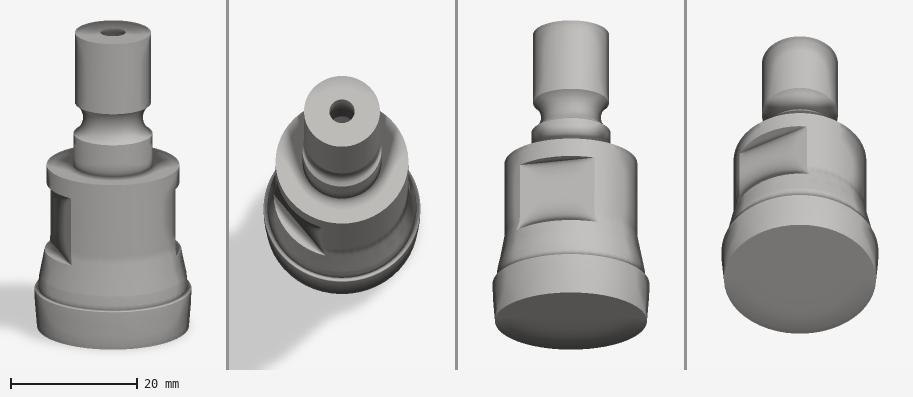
import cadquery as cq
import math

total_height = 48.95
shank_groove_top = 37.25
shank_groove_bottom = 32.15
shoulder_height = 26.9
flat_top = 23.95
flat_bottom = 12.85
cone_blend_top = 14.95
cone_blend_bottom = 13.9
cone_bottom = 8.75
skirt_blend_bottom = 7.1
pad_height = 6.45

shank_radius = 6.0
collar_radius = 6.25
groove_radius = 4.75
body_radius = 10.5
cone_blend_radius = 10.6
cone_bottom_radius = 11.65
skirt_radius = 11.8
pad_radius = 12.45
pad_middle_radius = 12.35
pad_base_radius = 12.05
across_flats = 17.15

pad_edge_round = 0.15
hole_diameter = 4.0
hole_depth = 7.35
hole_tip_angle = 118.0


def make_turned_spindle():
    """Revolve the shank, ball groove, collar, body and flared skirt about Z."""
    groove_middle = (shank_groove_top + shank_groove_bottom) / 2
    return (
        cq.Workplane("XZ")
        .moveTo(0, pad_height)
        .lineTo(skirt_radius, pad_height)
        .lineTo(skirt_radius, skirt_blend_bottom)
        .tangentArcPoint((cone_bottom_radius, cone_bottom), relative=False)
        .lineTo(cone_blend_radius, cone_blend_bottom)
        .tangentArcPoint((body_radius, cone_blend_top), relative=False)
        .lineTo(body_radius, shoulder_height)
        .lineTo(collar_radius, shoulder_height)
        .lineTo(collar_radius, shank_groove_bottom)
        .threePointArc((groove_radius, groove_middle), (shank_radius, shank_groove_top))
        .lineTo(shank_radius, total_height)
        .lineTo(0, total_height)
        .close()
        .revolve(360, (0, 0), (0, 1))
    )


def make_flat_cutters():
    """Two blocks that leave the wrench flats on the -Y and +Y sides."""
    block_size = 2 * pad_radius
    block_offset = (across_flats + block_size) / 2
    return (
        cq.Workplane("XY", origin=(0, 0, flat_bottom))
        .pushPoints([(0, -block_offset), (0, block_offset)])
        .rect(block_size, block_size)
        .extrude(flat_top - flat_bottom)
    )


def make_drill_cutter():
    """Blind drilled hole with a conical tip, entering the shank end."""
    hole_radius = hole_diameter / 2
    tip_length = hole_radius / math.tan(math.radians(hole_tip_angle / 2))
    hole_floor = total_height - hole_depth
    return (
        cq.Workplane("XZ")
        .moveTo(0, hole_floor - tip_length)
        .lineTo(hole_radius, hole_floor)
        .lineTo(hole_radius, total_height)
        .lineTo(0, total_height)
        .close()
        .revolve(360, (0, 0), (0, 1))
    )


def make_spindle():
    """Turned spindle with wrench flats and a drilled hole in the shank end."""
    return make_turned_spindle().cut(make_flat_cutters()).cut(make_drill_cutter())


def make_pad():
    """Crowned foot pad that narrows towards its underside, with a rounded top edge."""
    pad = (
        cq.Workplane("XZ")
        .lineTo(pad_base_radius, 0)
        .threePointArc((pad_middle_radius, pad_height / 2), (pad_radius, pad_height))
        .lineTo(0, pad_height)
        .close()
        .revolve(360, (0, 0), (0, 1))
    )
    return pad.faces(">Z").edges().fillet(pad_edge_round)


spindle = make_spindle()
pad = make_pad()

result = cq.Compound.makeCompound([spindle.val(), pad.val()])